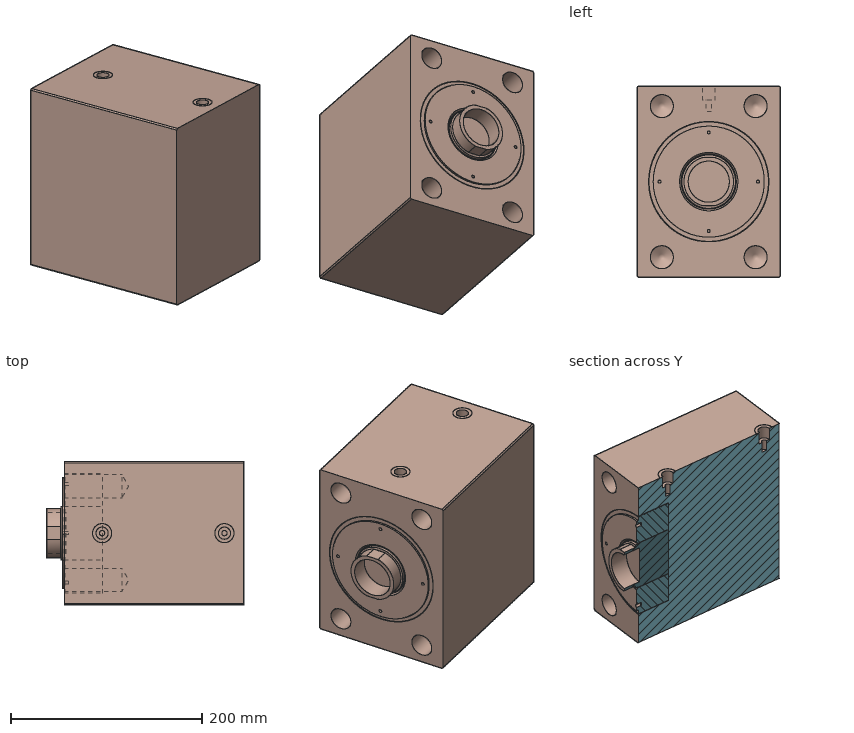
import cadquery as cq
import math

TOTAL_LENGTH = 206.0
BLOCK_WIDTH = 150.0
BLOCK_HEIGHT = 200.0
ROD_PROJECTION = 18.5
BLOCK_LENGTH = TOTAL_LENGTH - ROD_PROJECTION
BLOCK_EDGE_CHAMFER = 1.5

MOUNT_HOLE_DIAMETER = 24.0
MOUNT_HOLE_DEPTH = 60.0
MOUNT_HOLE_SPACING_Y = 98.0
MOUNT_HOLE_SPACING_Z = 158.0
DRILL_POINT_ANGLE = 118.0

FRONT_PORT_X = 39.3
PORT_SPACING = 128.0
PORT_FACE_DIAMETER = 20.0
PORT_FACE_DEPTH = 0.2
PORT_DIAMETER = 12.8
PORT_DEPTH = 14.5
PASSAGE_DIAMETER = 5.5
PASSAGE_DEPTH = 26.8

GLAND_DIAMETER = 125.0
GLAND_THICKNESS = 40.0
GLAND_BORE_CHAMFER = 0.5
GLAND_BOSS_DIAMETER = 116.2
GLAND_BOSS_HEIGHT = 2.0
WIPER_RECESS_DIAMETER = 61.0
WIPER_RECESS_FLOOR_DIAMETER = 57.7
SPANNER_HOLE_DIAMETER = 3.0
SPANNER_HOLE_DEPTH = 6.2
SPANNER_HOLE_CIRCLE_RADIUS = 51.5
SPANNER_HOLE_COUNT = 4

ROD_DIAMETER = 56.0
ROD_SHOULDER_PROJECTION = 4.0
ROD_SHOULDER_CHAMFER_LENGTH = 0.5
NECK_DIAMETER = 52.0
NECK_FLATS_WIDTH = 50.0
ROD_SOCKET_DIAMETER = 43.0
ROD_SOCKET_DEPTH = 20.0


def x_cylinder(diameter, x_start, x_end):
    """Cylinder about the rod axis between two X positions."""
    return cq.Workplane("YZ", origin=(x_start, 0, 0)).circle(diameter / 2).extrude(x_end - x_start)


def x_cone(start_diameter, end_diameter, x_start, x_end):
    """Truncated cone about the rod axis between two X positions."""
    return cq.Workplane(
        cq.Solid.makeCone(
            start_diameter / 2,
            end_diameter / 2,
            x_end - x_start,
            pnt=cq.Vector(x_start, 0, 0),
            dir=cq.Vector(1, 0, 0),
        )
    )


def mount_hole():
    """Blind drilled hole with a conical end, on the rod axis and ready to be moved into place."""
    point_length = MOUNT_HOLE_DIAMETER / 2 / math.tan(math.radians(DRILL_POINT_ANGLE / 2))
    shank = x_cylinder(MOUNT_HOLE_DIAMETER, 0, MOUNT_HOLE_DEPTH)
    point = x_cone(MOUNT_HOLE_DIAMETER, 0, MOUNT_HOLE_DEPTH, MOUNT_HOLE_DEPTH + point_length)
    return shank.union(point)


def cut_port(block, x):
    """Cut a spotfaced oil port with its narrower passage down from the top face."""
    steps = [
        (PORT_FACE_DIAMETER, PORT_FACE_DEPTH),
        (PORT_DIAMETER, PORT_DEPTH),
        (PASSAGE_DIAMETER, PASSAGE_DEPTH),
    ]
    for diameter, depth in steps:
        top = cq.Workplane("XY", origin=(x, 0, BLOCK_HEIGHT / 2))
        block = block.cut(top.circle(diameter / 2).extrude(-depth))
    return block


def make_block():
    block = cq.Workplane("XY").box(BLOCK_LENGTH, BLOCK_WIDTH, BLOCK_HEIGHT, centered=(False, True, True))
    block = block.edges("|X").chamfer(BLOCK_EDGE_CHAMFER)
    for y in (-MOUNT_HOLE_SPACING_Y / 2, MOUNT_HOLE_SPACING_Y / 2):
        for z in (-MOUNT_HOLE_SPACING_Z / 2, MOUNT_HOLE_SPACING_Z / 2):
            block = block.cut(mount_hole().translate((0, y, z)))
    for x in (FRONT_PORT_X, FRONT_PORT_X + PORT_SPACING):
        block = cut_port(block, x)
    mouth_diameter = GLAND_DIAMETER + 2 * GLAND_BORE_CHAMFER
    block = block.cut(x_cylinder(GLAND_DIAMETER, 0, GLAND_THICKNESS))
    return block.cut(x_cone(mouth_diameter, GLAND_DIAMETER, 0, GLAND_BORE_CHAMFER))


def make_gland():
    gland = x_cylinder(GLAND_DIAMETER, 0, GLAND_THICKNESS)
    gland = gland.union(x_cylinder(GLAND_BOSS_DIAMETER, -GLAND_BOSS_HEIGHT, 0))
    gland = gland.cut(x_cylinder(ROD_DIAMETER, -GLAND_BOSS_HEIGHT, GLAND_THICKNESS))
    recess_depth = (WIPER_RECESS_DIAMETER - WIPER_RECESS_FLOOR_DIAMETER) / 2
    recess_end = recess_depth - GLAND_BOSS_HEIGHT
    gland = gland.cut(
        x_cone(WIPER_RECESS_DIAMETER, WIPER_RECESS_FLOOR_DIAMETER, -GLAND_BOSS_HEIGHT, recess_end)
    )
    spanner_holes = (
        cq.Workplane("YZ", origin=(-GLAND_BOSS_HEIGHT, 0, 0))
        .polarArray(SPANNER_HOLE_CIRCLE_RADIUS, 0, 360, SPANNER_HOLE_COUNT)
        .circle(SPANNER_HOLE_DIAMETER / 2)
        .extrude(SPANNER_HOLE_DEPTH)
    )
    return gland.cut(spanner_holes)


def make_rod():
    chamfer_end = ROD_SHOULDER_CHAMFER_LENGTH - ROD_SHOULDER_PROJECTION
    rod = x_cylinder(ROD_DIAMETER, chamfer_end, GLAND_THICKNESS)
    rod = rod.union(x_cone(NECK_DIAMETER, ROD_DIAMETER, -ROD_SHOULDER_PROJECTION, chamfer_end))
    neck_length = ROD_PROJECTION - ROD_SHOULDER_PROJECTION
    neck = x_cylinder(NECK_DIAMETER, -ROD_PROJECTION, -ROD_SHOULDER_PROJECTION)
    between_flats = cq.Workplane("XY", origin=(-ROD_PROJECTION, 0, 0)).box(
        neck_length, NECK_DIAMETER, NECK_FLATS_WIDTH, centered=(False, True, True)
    )
    rod = rod.union(neck.intersect(between_flats))
    return rod.cut(x_cylinder(ROD_SOCKET_DIAMETER, -ROD_PROJECTION, ROD_SOCKET_DEPTH - ROD_PROJECTION))


block = make_block()
gland = make_gland()
rod = make_rod()
result = cq.Compound.makeCompound([block.val(), gland.val(), rod.val()])